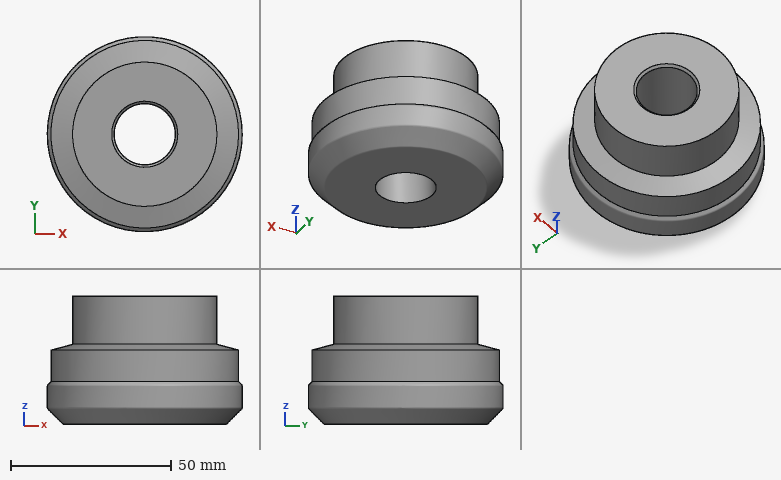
import cadquery as cq
import math

total_height = 40.0
bore_radius = 9.5
bore_chamfer = 0.8

ring_diameter = 60.82
ring_radius = ring_diameter / 2
ring_bottom_bevel = 5.0
ring_band_top = 12.2
ring_edge_round = 0.75

shoulder_radius = 29.25
neck_radius = 22.5
neck_base_height = 25.0
shoulder_slope = math.radians(15)

ring_height = ring_band_top + ring_radius - shoulder_radius
shoulder_top = neck_base_height - (shoulder_radius - neck_radius) * math.tan(shoulder_slope)


def make_seat_ring():
    """Bevelled disc with rounded outer edges and a through bore."""
    bottom_radius = ring_radius - ring_bottom_bevel
    outline = [
        (0, 0),
        (bottom_radius, 0),
        (ring_radius, ring_bottom_bevel),
        (ring_radius, ring_band_top),
        (shoulder_radius, ring_height),
        (0, ring_height),
    ]
    disc = cq.Workplane("XZ").polyline(outline).close().revolve(360, (0, 0), (0, 1))
    disc = disc.edges("%CIRCLE and (not >Z)").fillet(ring_edge_round)
    bore = cq.Workplane("XY").circle(bore_radius).extrude(ring_height)
    return disc.cut(bore)


def make_plug():
    """Shoulder with a sloped top, a narrower neck, and a bore chamfered at the top."""
    outline = [
        (bore_radius, ring_height),
        (shoulder_radius, ring_height),
        (shoulder_radius, shoulder_top),
        (neck_radius, neck_base_height),
        (neck_radius, total_height),
        (bore_radius + bore_chamfer, total_height),
        (bore_radius, total_height - bore_chamfer),
    ]
    return cq.Workplane("XZ").polyline(outline).close().revolve(360, (0, 0), (0, 1))


seat_ring = make_seat_ring()
plug = make_plug()

result = cq.Compound.makeCompound([seat_ring.val(), plug.val()])